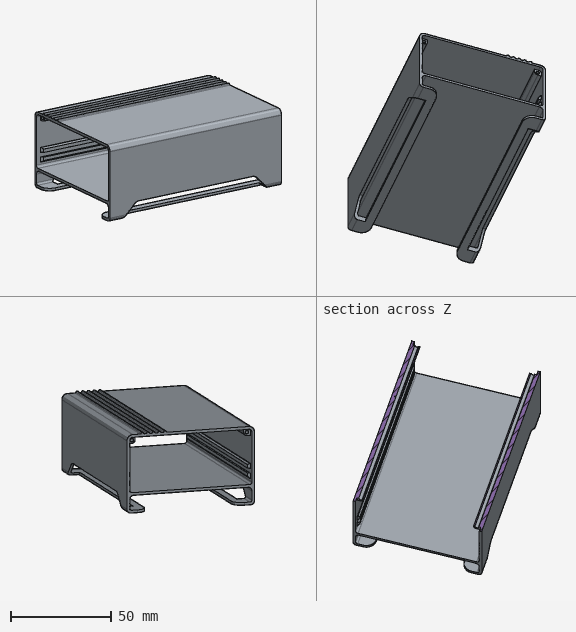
import cadquery as cq
import math

width = 67.0
length = 103.0
height = 40.8
wall = 1.4

ridge_height = 0.8
ridge_tip_radius = 0.7
ridge_foot_radius = 0.5
ridge_pitch = 3.0
ridge_count = 5
first_ridge_x = -25.4

top_z = height - ridge_height
top_corner_radius = 3.0
bottom_corner_radius = 2.1

floor_top_z = 10.4
floor_bottom_z = floor_top_z - wall
bay_bottom_radius = 1.2
channel_top_radius = 2.0
channel_bottom_radius = 1.0

lip_reach = 10.6
lip_corner_radius = 5.2

window_depth = 6.3
window_end_margin = 7.9
window_top_z = 7.9
window_corner_radius = 4.0

inner_setback = 2.4
rail_depth = 1.1
rail_height = 2.6
rail_chamfer = 0.8
rail_slot_bottom_z = 15.6
rail_slot_top_z = 18.0
boss_x = 30.2
boss_z = 36.7
boss_radius = 1.8
screw_hole_diameter = 1.8

inner_half_width = width / 2 - wall
fitting_length = length - 2 * inner_setback
bay_top_z = top_z - wall
lip_gap_half = width / 2 - lip_reach

overlap = wall / 4


def bar(x_min, x_max, z_min, z_max, bar_length=length):
    """Box along Y, centred on Y = 0."""
    return (
        cq.Workplane("XY")
        .box(x_max - x_min, bar_length, z_max - z_min, centered=(False, True, False))
        .translate((x_min, 0, z_min))
    )


def along_y(sketch, sketch_length):
    """Extrude an XZ sketch symmetrically about Y = 0."""
    return sketch.extrude(sketch_length / 2, both=True)


def make_shell():
    """Rounded tube with a floor, open below between the lips."""
    outer = bar(-width / 2, width / 2, 0, top_z)
    outer = outer.edges("|Y and >Z").fillet(top_corner_radius)
    outer = outer.edges("|Y and <Z").fillet(bottom_corner_radius)

    bay = bar(-inner_half_width, inner_half_width, floor_top_z, bay_top_z)
    bay = bay.edges("|Y and >Z").fillet(top_corner_radius - wall)
    bay = bay.edges("|Y and <Z").fillet(bay_bottom_radius)

    channel = bar(-inner_half_width, inner_half_width, wall, floor_bottom_z)
    channel = channel.edges("|Y and >Z").fillet(channel_top_radius)
    channel = channel.edges("|Y and <Z").fillet(channel_bottom_radius)

    lip_gap = bar(-lip_gap_half, lip_gap_half, -wall, 2 * wall)
    return outer.cut(bay).cut(channel).cut(lip_gap)


def round_lip_corners(shell):
    """Round the inner corners of the lips at both ends."""
    corner_picker = cq.selectors.BoxSelector(
        (-lip_gap_half - wall, -length, -wall), (lip_gap_half + wall, length, 2 * wall)
    )
    return shell.edges("|Z").edges(corner_picker).fillet(lip_corner_radius)


def make_windows():
    """Trapezoids with 45 degree ends, one for each side wall."""
    bottom_half = length / 2 - window_end_margin
    top_half = bottom_half - window_top_z
    trapezoid = (
        cq.Workplane("YZ")
        .polyline([
            (-bottom_half, 0),
            (bottom_half, 0),
            (top_half, window_top_z),
            (-top_half, window_top_z),
        ])
        .close()
        .extrude(window_depth)
        .edges("|X and >Z")
        .fillet(window_corner_radius)
    )
    left = trapezoid.translate((-width / 2, 0, 0))
    return left.union(left.mirror("YZ"))


def make_ridges():
    """Rounded ridges whose sides flare into the top face."""
    tip_center_z = height - ridge_tip_radius
    foot_center_z = top_z + ridge_foot_radius
    radius_sum = ridge_tip_radius + ridge_foot_radius
    slope = math.asin((foot_center_z - tip_center_z) / radius_sum)
    half_base = radius_sum * math.cos(slope)

    side_x = ridge_tip_radius * math.cos(slope)
    side_z = tip_center_z + ridge_tip_radius * math.sin(slope)

    foot_angle = math.pi / 2 - slope
    foot_mid_x = half_base - ridge_foot_radius * math.sin(foot_angle / 2)
    foot_mid_z = foot_center_z - ridge_foot_radius * math.cos(foot_angle / 2)

    profile = (
        cq.Workplane("XZ")
        .moveTo(-half_base, top_z)
        .threePointArc((-foot_mid_x, foot_mid_z), (-side_x, side_z))
        .threePointArc((0, height), (side_x, side_z))
        .threePointArc((foot_mid_x, foot_mid_z), (half_base, top_z))
        .lineTo(half_base, top_z - overlap)
        .lineTo(-half_base, top_z - overlap)
        .close()
    )
    ridge = along_y(profile, length)
    ridges = cq.Workplane("XY")
    for i in range(ridge_count):
        ridges = ridges.union(ridge.translate((first_ridge_x + i * ridge_pitch, 0, 0)))
    return ridges


def make_rails():
    """Two rails on the left wall that guide a board between them."""
    tip_x = -inner_half_width + rail_depth
    root_x = -inner_half_width - overlap

    upper = bar(root_x, tip_x, rail_slot_top_z, rail_slot_top_z + rail_height, fitting_length)
    upper = upper.edges(">X and >Z").chamfer(rail_chamfer)
    lower = bar(root_x, tip_x, rail_slot_bottom_z - rail_height, rail_slot_bottom_z, fitting_length)
    lower = lower.edges(">X and <Z").chamfer(rail_chamfer)
    rails = upper.union(lower)

    half = fitting_length / 2
    runout = (
        cq.Workplane("XY")
        .polyline([
            (root_x, -half - overlap),
            (-inner_half_width, -half),
            (tip_x, -half + rail_depth),
            (tip_x, half - rail_depth),
            (-inner_half_width, half),
            (root_x, half + overlap),
        ])
        .close()
        .extrude(top_z)
    )
    return rails.intersect(runout)


def make_boss():
    """Screw boss filling the upper left corner of the bay."""
    left_x = -inner_half_width - overlap
    upper_z = bay_top_z + overlap
    right_x = -boss_x + boss_radius
    block = bar(left_x, right_x, boss_z - boss_radius, upper_z, fitting_length)
    return block.edges(">X and <Z").fillet(boss_radius)


def make_screw_holes():
    """Holes running the full length of both bosses."""
    sketch = (
        cq.Workplane("XZ")
        .pushPoints([(-boss_x, boss_z), (boss_x, boss_z)])
        .circle(screw_hole_diameter / 2)
    )
    return along_y(sketch, fitting_length)


shell = round_lip_corners(make_shell()).cut(make_windows())
left_fittings = make_rails().union(make_boss())
right_fittings = left_fittings.mirror("YZ")
body = shell.union(make_ridges()).union(left_fittings).union(right_fittings)
result = body.cut(make_screw_holes())